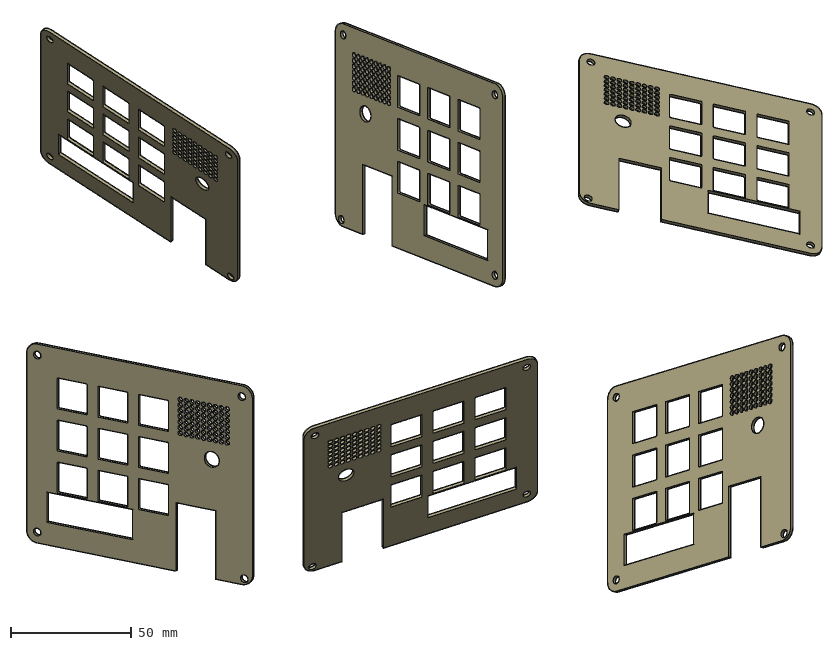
import cadquery as cq

width = 105.8
height = 90.0
thickness = 1.5
corner_radius = 5.0

mount_diameter = 3.4
mount_inset = corner_radius
odd_mount_x_inset = 3.8
odd_mount_z_inset = 2.9

key_size = 14.0
key_corner_radius = 0.4
key_pitch = 19.0
key_count = 3
key_grid_x = -12.5
key_grid_z = 5.5

display_width = 40.0
display_height = 13.6
display_x = -23.3
display_z = -27.9

grille_diameter = 2.0
grille_columns = 9
grille_rows = 7
grille_pitch_x = 2.7
grille_pitch_z = 2.5
grille_x = 30.0
grille_z = 25.4

knob_diameter = 7.0
knob_x = 33.8
knob_z = 8.9

notch_width = 18.6
notch_depth = 31.0
notch_x = 26.3


def front_plane():
    """Sketch plane in the middle of the plate, with local axes along X and Z."""
    return cq.Workplane("XZ")


def block(size_x, size_z, x, z):
    """Rectangular block of plate thickness centred at (x, z)."""
    return front_plane().center(x, z).rect(size_x, size_z).extrude(thickness / 2, both=True)


def pins(sketch, diameter):
    """Round cutters of plate thickness at the points of the sketch."""
    return sketch.circle(diameter / 2).extrude(thickness / 2, both=True)


def cut_mounting_holes(plate):
    hole_x = width / 2 - mount_inset
    hole_z = height / 2 - mount_inset
    centres = [
        (-hole_x, hole_z),
        (hole_x, hole_z),
        (-hole_x, -hole_z),
        (width / 2 - odd_mount_x_inset, -height / 2 + odd_mount_z_inset),
    ]
    return plate.cut(pins(front_plane().pushPoints(centres), mount_diameter))


def cut_keys(plate):
    key = block(key_size, key_size, key_grid_x, key_grid_z).edges("|Y").fillet(key_corner_radius)
    for column in range(key_count):
        for row in range(key_count):
            shift_x = (column - (key_count - 1) / 2) * key_pitch
            shift_z = (row - (key_count - 1) / 2) * key_pitch
            plate = plate.cut(key.translate((shift_x, 0, shift_z)))
    return plate


def cut_grille(plate):
    grid = front_plane().center(grille_x, grille_z).rarray(
        grille_pitch_x, grille_pitch_z, grille_columns, grille_rows
    )
    return plate.cut(pins(grid, grille_diameter))


def cut_knob_hole(plate):
    return plate.cut(pins(front_plane().center(knob_x, knob_z), knob_diameter))


def cut_display(plate):
    return plate.cut(block(display_width, display_height, display_x, display_z))


def cut_notch(plate):
    notch_z = (notch_depth - height) / 2
    return plate.cut(block(notch_width, notch_depth, notch_x, notch_z))


plate = block(width, height, 0, 0).edges("|Y").fillet(corner_radius)
plate = cut_mounting_holes(plate)
plate = cut_keys(plate)
plate = cut_grille(plate)
plate = cut_knob_hole(plate)
plate = cut_display(plate)
result = cut_notch(plate)